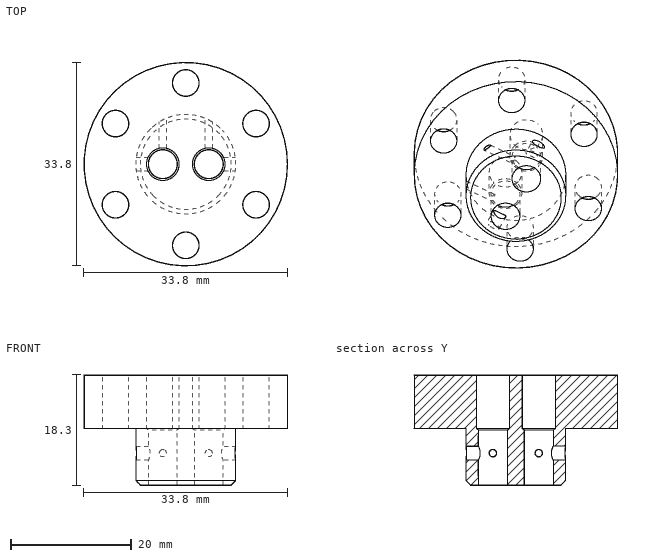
import cadquery as cq
import math

flange_diameter = 33.78
flange_thickness = 8.89
total_height = 18.29
boss_diameter = 16.56
boss_chamfer = 0.76
boss_height = total_height - flange_thickness

bolt_count = 6
bolt_circle_radius = 13.47
bolt_hole_diameter = 4.37
first_bolt_angle = 90.0

bore_spacing = 7.62
bore_top_diameter = 5.41
bore_bottom_diameter = 4.76
bore_top_depth = flange_thickness
shoulder_angle = 118.0

port_height = 5.33
port_diameter = 2.26
cross_hole_diameter = 1.19

SIDES = (-1, 1)


def make_body():
    flange = (
        cq.Workplane("XY")
        .workplane(offset=boss_height)
        .circle(flange_diameter / 2)
        .extrude(flange_thickness)
    )
    boss = cq.Workplane("XY").circle(boss_diameter / 2).extrude(boss_height)
    return flange.union(boss.faces("<Z").chamfer(boss_chamfer))


def bolt_holes():
    return (
        cq.Workplane("XY")
        .polarArray(bolt_circle_radius, first_bolt_angle, 360, bolt_count)
        .circle(bolt_hole_diameter / 2)
        .extrude(total_height)
    )


def stepped_bore(side):
    """Bore through the full height with a wider upper length and a conical shoulder."""
    shoulder_width = (bore_top_diameter - bore_bottom_diameter) / 2
    shoulder_height = shoulder_width / math.tan(math.radians(shoulder_angle / 2))
    shoulder_top = total_height - bore_top_depth
    profile = (
        cq.Workplane("XZ")
        .lineTo(bore_bottom_diameter / 2, 0)
        .lineTo(bore_bottom_diameter / 2, shoulder_top - shoulder_height)
        .lineTo(bore_top_diameter / 2, shoulder_top)
        .lineTo(bore_top_diameter / 2, total_height)
        .lineTo(0, total_height)
        .close()
    )
    bore = profile.revolve(360, (0, 0, 0), (0, 1, 0))
    return bore.translate((side * bore_spacing / 2, 0, 0))


def drilled_hole(diameter, start, direction, length):
    """Straight cylindrical cutter from a start point along a direction."""
    return cq.Workplane(
        cq.Solid.makeCylinder(diameter / 2, length, cq.Vector(*start), cq.Vector(*direction))
    )


def side_port(side):
    """Hole along X from the boss side into the nearer bore."""
    start = (side * bore_spacing / 2, 0, port_height)
    return drilled_hole(port_diameter, start, (side, 0, 0), boss_diameter / 2)


def cross_hole(side):
    """Small hole along Y from the +Y side of the boss into a bore."""
    start = (side * bore_spacing / 2, 0, port_height)
    return drilled_hole(cross_hole_diameter, start, (0, 1, 0), boss_diameter / 2)


result = make_body().cut(bolt_holes())
for side in SIDES:
    result = result.cut(stepped_bore(side))
    result = result.cut(side_port(side))
    result = result.cut(cross_hole(side))